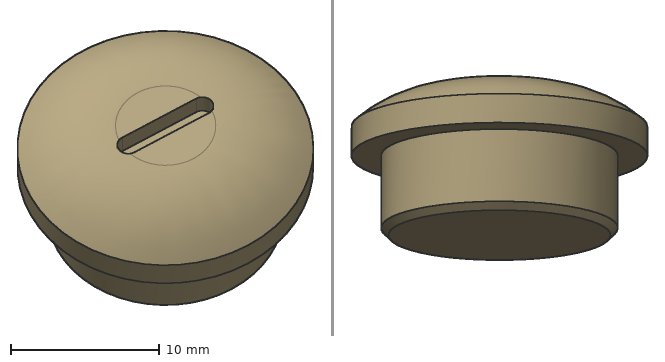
import cadquery as cq
import math

head_diameter = 20.0
rim_height = 2.0
dome_height = 2.5
dome_radius = 10.0

shank_diameter = 16.0
shank_length = 5.5
shank_chamfer = 0.5

slot_length = 7.5
slot_width = 1.5
slot_depth = 1.5

head_radius = head_diameter / 2
shank_radius = shank_diameter / 2
dome_base_z = shank_length + rim_height
top_z = dome_base_z + dome_height

arc_centre_z = top_z - dome_radius
dome_span = math.sqrt(dome_radius**2 - (dome_base_z - arc_centre_z) ** 2)
crown_radius = head_radius - dome_span


def dome_midpoint():
    """Point halfway along the dome arc, in the radial section."""
    half_angle = math.asin(dome_span / dome_radius) / 2
    return (
        crown_radius + dome_radius * math.sin(half_angle),
        arc_centre_z + dome_radius * math.cos(half_angle),
    )


def make_body():
    """Shank and domed head, revolved about Z from the radial section."""
    return (
        cq.Workplane("XZ")
        .moveTo(0, 0)
        .lineTo(shank_radius - shank_chamfer, 0)
        .lineTo(shank_radius, shank_chamfer)
        .lineTo(shank_radius, shank_length)
        .lineTo(head_radius, shank_length)
        .lineTo(head_radius, dome_base_z)
        .threePointArc(dome_midpoint(), (crown_radius, top_z))
        .lineTo(0, top_z)
        .close()
        .revolve(360, (0, 0, 0), (0, 1, 0))
    )


def make_slot():
    """Round-ended cutter that opens through the crown."""
    return (
        cq.Workplane("XY", origin=(0, 0, top_z - slot_depth))
        .slot2D(slot_length, slot_width, 90)
        .extrude(slot_depth)
    )


result = make_body().cut(make_slot())